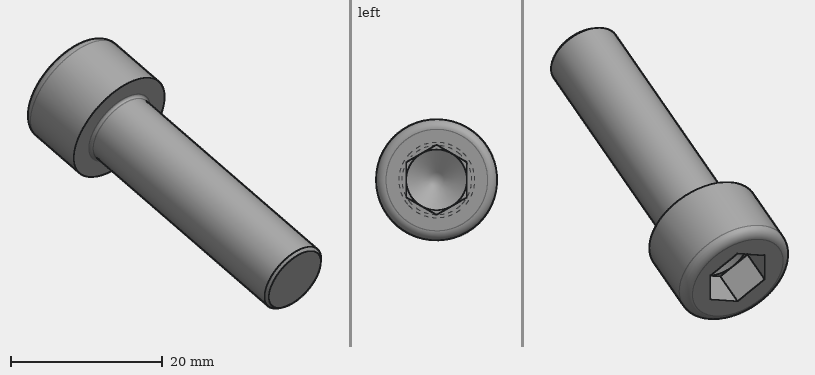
import cadquery as cq
import math

total_length = 45.0
shank_diameter = 10.0
head_diameter = 16.0
head_length = shank_diameter
head_edge_radius = 1.3
neck_fillet_radius = 0.4
tip_chamfer = 0.4

socket_across_flats = 8.0
socket_depth = 5.0
cone_point_angle = 120.0

head_face_x = -total_length / 2
head_underside_x = head_face_x + head_length
tip_x = total_length / 2
socket_floor_x = head_face_x + socket_depth


def make_head():
    head = cq.Workplane("YZ", origin=(head_face_x, 0, 0)).circle(head_diameter / 2).extrude(head_length)
    return head.faces("<X").edges().fillet(head_edge_radius)


def make_shank():
    shank_length = tip_x - head_underside_x
    shank = cq.Workplane("YZ", origin=(head_underside_x, 0, 0)).circle(shank_diameter / 2).extrude(shank_length)
    return shank.faces(">X").edges().chamfer(tip_chamfer)


def make_neck():
    """Concave fillet ring between the underside of the head and the shank."""
    shank_radius = shank_diameter / 2
    outer_radius = shank_radius + neck_fillet_radius
    neck_end_x = head_underside_x + neck_fillet_radius
    arc_inset = neck_fillet_radius * (1 - math.sqrt(0.5))
    return (
        cq.Workplane("XY")
        .moveTo(head_underside_x, 0)
        .lineTo(head_underside_x, outer_radius)
        .threePointArc(
            (head_underside_x + arc_inset, shank_radius + arc_inset),
            (neck_end_x, shank_radius),
        )
        .lineTo(neck_end_x, 0)
        .close()
        .revolve(360, (0, 0, 0), (1, 0, 0))
    )


def make_socket():
    """Hexagonal recess ending in a drill point inscribed in the hexagon."""
    across_corners = socket_across_flats / math.cos(math.radians(30))
    hexagon = (
        cq.Workplane("YZ", origin=(head_face_x, 0, 0))
        .transformed(rotate=(0, 0, 90))
        .polygon(6, across_corners)
        .extrude(socket_depth)
    )
    cone_radius = socket_across_flats / 2
    cone_height = cone_radius / math.tan(math.radians(cone_point_angle / 2))
    cone = cq.Workplane(
        cq.Solid.makeCone(cone_radius, 0, cone_height, cq.Vector(socket_floor_x, 0, 0), cq.Vector(1, 0, 0))
    )
    return hexagon.union(cone)


result = make_head().union(make_neck()).union(make_shank()).cut(make_socket())